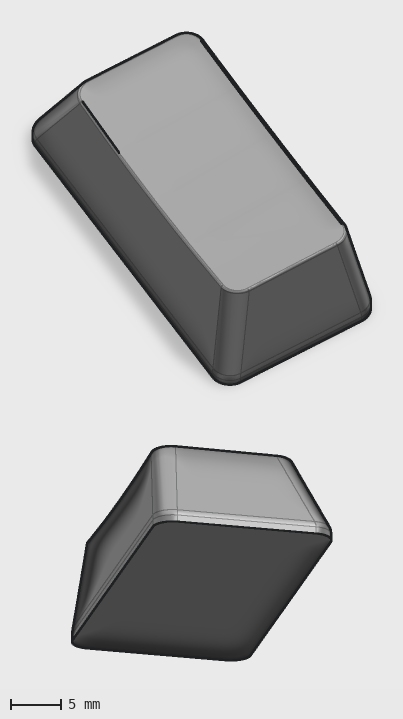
import cadquery as cq

LENGTH = 37.2
DEPTH = 18.15
CORNER_RADIUS = 2.0

SKIRT_HEIGHT = 0.7
BLEND_HEIGHT = 0.6
WALL_START = SKIRT_HEIGHT + BLEND_HEIGHT
KNEE_HEIGHT = SKIRT_HEIGHT + BLEND_HEIGHT / 2

REFERENCE_HEIGHT = 9.67
END_INSET = 3.7
FRONT_INSET = 3.4
BACK_INSET = 0.7

DISH_HEIGHT = 8.82
DISH_DEPTH = 0.5
DISH_HALF_WIDTH = 14.9
DISH_TILT = 0.6
RIM_FILLET = 0.3


def outline_at(height):
    """Rounded rectangle of the outer walls at a height above the skirt."""
    if height < WALL_START:
        equivalent_rise = (height - SKIRT_HEIGHT) ** 2 / (2 * BLEND_HEIGHT)
    else:
        equivalent_rise = height - KNEE_HEIGHT
    lean = equivalent_rise / (REFERENCE_HEIGHT - KNEE_HEIGHT)

    length = LENGTH - 2 * END_INSET * lean
    depth = DEPTH - (FRONT_INSET + BACK_INSET) * lean
    center_y = (FRONT_INSET - BACK_INSET) / 2 * lean
    return (
        cq.Sketch()
        .rect(length, depth)
        .vertices()
        .fillet(CORNER_RADIUS)
        .moved(cq.Location(cq.Vector(0, center_y, height)))
    )


def make_skirt():
    """Upright band at the base."""
    return (
        cq.Workplane("XY")
        .rect(LENGTH, DEPTH)
        .extrude(SKIRT_HEIGHT)
        .edges("|Z")
        .fillet(CORNER_RADIUS)
    )


def make_blend():
    """Smooth curved band between the skirt and the sloping walls."""
    sections = [outline_at(height) for height in (SKIRT_HEIGHT, KNEE_HEIGHT, WALL_START)]
    return cq.Workplane("XY").placeSketch(*sections).loft()


def make_sloping_body():
    """Tapered body, with its back wall steeper than its front wall."""
    sections = [outline_at(height) for height in (WALL_START, REFERENCE_HEIGHT)]
    return cq.Workplane("XY").placeSketch(*sections).loft(ruled=True)


def make_dish_cutter():
    """Long cylinder whose lowest line is the valley of the dished top."""
    radius = (DISH_HALF_WIDTH**2 + DISH_DEPTH**2) / (2 * DISH_DEPTH)
    return (
        cq.Workplane("XZ")
        .center(0, DISH_HEIGHT + radius)
        .circle(radius)
        .extrude(DEPTH, both=True)
        .rotate((0, 0, DISH_HEIGHT), (1, 0, DISH_HEIGHT), DISH_TILT)
    )


dished_body = make_sloping_body().cut(make_dish_cutter())
dished_body = dished_body.faces(">Z").edges().fillet(RIM_FILLET)

result = make_skirt().union(make_blend()).union(dished_body)